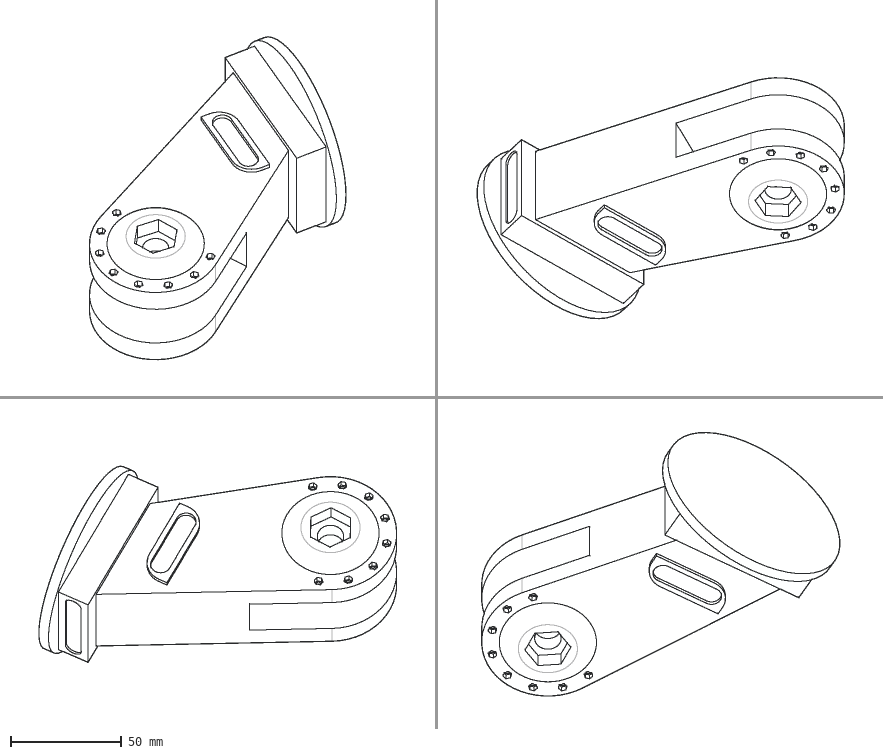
import cadquery as cq
import math


plate_diameter = 90.0
plate_thickness = 5.0
block_width = 70.0
block_depth = 15.1
block_height = 50.0

label_length = 45.0
label_width = 8.0
label_depth = 1.0

arm_root_width = 54.0
arm_height = 45.0
arm_end_radius = 30.0
pivot_x = 50.0
pivot_y = -99.9
slot_height = 22.5
slot_reach = 37.3

badge_length = 40.3
badge_width = 14.0
badge_height = 2.0
badge_corner_radius = 10.0
badge_recess_length = 34.4
badge_recess_width = 9.1
badge_x = 12.1
badge_y = -39.4

hub_diameter = 44.0
hub_height = 5.0
hub_edge_radius = 10.0
bore_diameter = 12.0
hex_across_flats = 18.0
hex_depth = 7.9
hex_rotation = 4.5

index_circle_radius = 26.0
index_across_corners = 4.0
index_hex_depth = 3.0
index_pilot_diameter = 2.5
index_pilot_depth = 1.5
index_socket_count = 8
index_step = 30
index_first_angle = 45

arm_root_y = -plate_thickness - block_depth
arm_top = arm_height / 2
hub_top = arm_top + hub_height


def tangent_angle(root_x, side):
    """Direction, in degrees, of the radius where a flank starting at root_x meets the round end.

    side is -1 for the flank on the -X side of the arm and +1 for the other one.
    """
    across = root_x - pivot_x
    along = arm_root_y - pivot_y
    to_root = math.degrees(math.atan2(along, across))
    spread = math.degrees(math.acos(arm_end_radius / math.hypot(across, along)))
    return to_root - side * spread


def around_pivot(radius, angle):
    """Point at a polar position about the pivot axis."""
    turn = math.radians(angle)
    return pivot_x + radius * math.cos(turn), pivot_y + radius * math.sin(turn)


def with_mirror(body):
    """Body together with its image below the plane Z = 0."""
    return body.union(body.mirror("XY"))


left_angle = tangent_angle(-arm_root_width / 2, -1)
right_angle = tangent_angle(arm_root_width / 2, 1)


def make_mount():
    plate = cq.Workplane("XZ").circle(plate_diameter / 2).extrude(plate_thickness)
    block = (
        cq.Workplane("XZ", origin=(0, -plate_thickness, 0))
        .rect(block_width, block_height)
        .extrude(block_depth)
    )
    label = (
        cq.Workplane("YZ", origin=(-block_width / 2, -plate_thickness - block_depth / 2, 0))
        .slot2D(label_length, label_width, 90)
        .extrude(label_depth)
    )
    return plate.union(block).cut(label)


def make_arm():
    end_angle = (left_angle + 360 + right_angle) / 2
    return (
        cq.Workplane("XY")
        .moveTo(-arm_root_width / 2, arm_root_y)
        .lineTo(*around_pivot(arm_end_radius, left_angle))
        .threePointArc(
            around_pivot(arm_end_radius, end_angle),
            around_pivot(arm_end_radius, right_angle),
        )
        .lineTo(arm_root_width / 2, arm_root_y)
        .close()
        .extrude(arm_height / 2, both=True)
    )


def make_fork_slot():
    """Cutter whose floor is square to the -X flank of the arm."""
    floor_to_end = slot_reach + arm_end_radius
    cutter_length = 2 * floor_to_end
    cutter_width = 2 * cutter_length
    return (
        cq.Workplane("XY")
        .box(cutter_width, cutter_length, slot_height, centered=(True, False, True))
        .translate((0, slot_reach - cutter_length, 0))
        .rotate((0, 0, 0), (0, 0, 1), left_angle - 180)
        .translate((pivot_x, pivot_y, 0))
    )


def make_badge():
    """Plate with two opposite rounded corners and a recess down to the arm face."""
    plate = (
        cq.Workplane("XY", origin=(badge_x, badge_y, arm_top))
        .rect(badge_length, badge_width)
        .extrude(badge_height)
    )
    for corner in ("<(1, -1, 0)", ">(1, -1, 0)"):
        plate = plate.edges("|Z").edges(corner).fillet(badge_corner_radius)
    recess = (
        cq.Workplane("XY", origin=(badge_x, badge_y, arm_top))
        .slot2D(badge_recess_length, badge_recess_width)
        .extrude(badge_height)
    )
    return plate.cut(recess)


def make_hub():
    """Flat-topped dome whose rounded edge runs smoothly into the flat top."""
    hub_radius = hub_diameter / 2
    drop = hub_edge_radius - hub_height
    rounding_width = math.sqrt(hub_edge_radius**2 - drop**2)
    flat_radius = hub_radius - rounding_width
    middle = math.acos(drop / hub_edge_radius) / 2
    middle_point = (
        flat_radius + hub_edge_radius * math.sin(middle),
        hub_top - hub_edge_radius * (1 - math.cos(middle)),
    )
    return (
        cq.Workplane("XZ")
        .lineTo(hub_radius, 0)
        .lineTo(hub_radius, arm_top)
        .threePointArc(middle_point, (flat_radius, hub_top))
        .lineTo(0, hub_top)
        .close()
        .revolve(360, (0, 0, 0), (0, 1, 0))
        .translate((pivot_x, pivot_y, 0))
    )


def make_hex_socket():
    across_corners = hex_across_flats / math.cos(math.radians(30))
    return (
        cq.Workplane("XY")
        .polygon(6, across_corners)
        .extrude(hex_depth)
        .rotate((0, 0, 0), (0, 0, 1), 90 - hex_rotation)
        .translate((pivot_x, pivot_y, hub_top - hex_depth))
    )


def make_index_sockets():
    """Hexagons with a flat facing away from the pivot, built on the +X axis and turned into place."""
    socket = (
        cq.Workplane("XY")
        .polygon(6, index_across_corners)
        .extrude(-index_hex_depth)
        .rotate((0, 0, 0), (0, 0, 1), 30)
        .faces("<Z")
        .workplane()
        .circle(index_pilot_diameter / 2)
        .extrude(index_pilot_depth)
        .translate((index_circle_radius, 0, 0))
    )
    sockets = cq.Workplane("XY")
    for step in range(index_socket_count):
        angle = index_first_angle - index_step * step
        sockets = sockets.add(socket.rotate((0, 0, 0), (0, 0, 1), angle))
    return sockets.combine().translate((pivot_x, pivot_y, arm_top))


bore = (
    cq.Workplane("XY", origin=(pivot_x, pivot_y, 0))
    .circle(bore_diameter / 2)
    .extrude(hub_top, both=True)
)

result = (
    make_mount()
    .union(make_arm())
    .union(with_mirror(make_hub()))
    .cut(make_fork_slot())
    .union(with_mirror(make_badge()))
    .cut(bore)
    .cut(with_mirror(make_hex_socket()))
    .cut(with_mirror(make_index_sockets()))
)